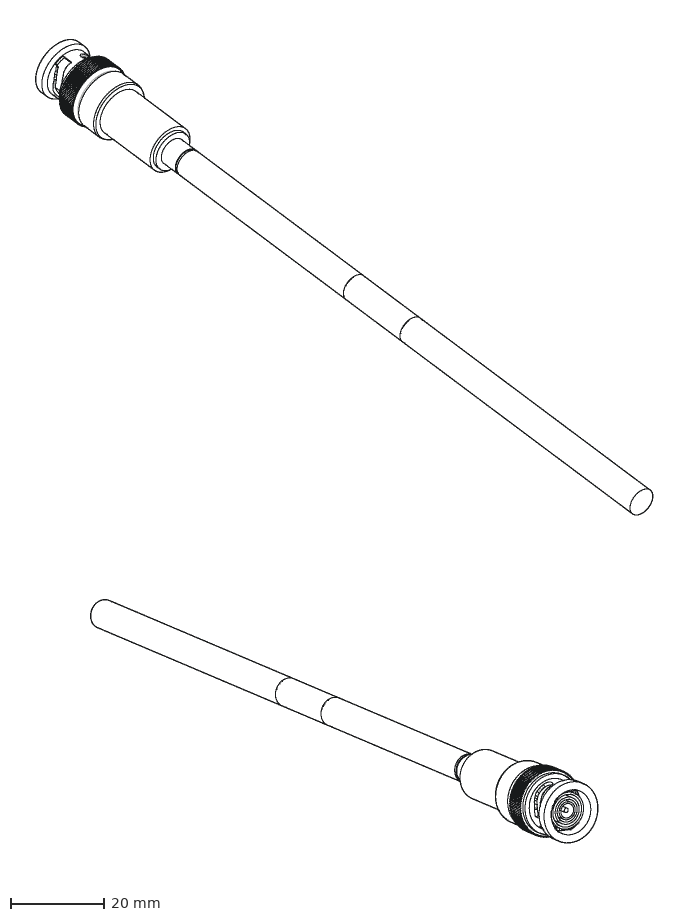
import cadquery as cq
import math

TOTAL_LENGTH = 195.58

FLANGE_RADIUS = 6.75
FLANGE_LENGTH = 2.1
BARREL_START = 2.7
BARREL_RADIUS = 5.7
BORE_RADIUS = 4.95
COLLAR_START = 7.95
COLLAR_RADIUS = FLANGE_RADIUS
KNURL_RADIUS = 7.49
KNURL_DEPTH = 0.25
KNURL_START = 8.9
KNURL_END = 13.2
BEVEL_END = 14.2
NUT_END = 14.8
NUT_END_RADIUS = 6.2
TOOTH_COUNT = 120

SLOT_COUNT = 3
SLOT_RADIUS = 1.2
MOUTH_START = 2.9
MOUTH_END = 5.7
MOUTH_ANGLE = 117
SEAT_X = 5.75
SEAT_ANGLE = 184
RAMP_START_X = 4.4
RAMP_START_ANGLE = 121
RAMP_END_ANGLE = 158
SLOT_STEPS = 12

RING_END = 20.3
RING_RADIUS = 7.0
RING_CHAMFER_LENGTH = 0.5
RING_CHAMFER_DROP = 0.2
BODY_RADIUS = 5.59
BODY_END = 37.1
SHOULDER_RADIUS = 4.7
SHOULDER_END = 38.0
NECK_RADIUS = 3.2
NECK_END = 42.7

CONTACT_SLEEVES = ((3.6, 4.1), (2.5, 3.0), (1.6, 2.0))
SLEEVE_FRONT = 1.6
CONTACT_FLOOR = 9.0
PIN_RADIUS = 0.5
PIN_FRONT = 2.0

CABLE_RADIUS = NECK_RADIUS
CABLE_CHAMFER_LENGTH = 0.6
CABLE_CHAMFER_DROP = 0.2
MARKER_START = 99.2
MARKER_LENGTH = 19.05
MARKER_END = MARKER_START + MARKER_LENGTH
MARKER_BORE = 2.93


def turned(points):
    """Turn a closed (x, radius) outline about the X axis."""
    outline = cq.Workplane("XZ").polyline(points).close()
    return outline.revolve(360, (0, 0, 0), (1, 0, 0))


def along_x(start, end, radius):
    """A solid cylinder on the X axis."""
    return cq.Workplane("YZ", origin=(start, 0, 0)).circle(radius).extrude(end - start)


def turn_about_x(shape, angle):
    return shape.rotate((0, 0, 0), (1, 0, 0), angle)


def knurled_band():
    """Straight pointed teeth round the grip of the nut, hollowed out to fit over the barrel."""
    points = []
    for tooth in range(TOOTH_COUNT):
        for offset, radius in ((0, KNURL_RADIUS), (0.5, KNURL_RADIUS - KNURL_DEPTH)):
            angle = math.radians((tooth + offset) * 360 / TOOTH_COUNT)
            points.append((radius * math.cos(angle), radius * math.sin(angle)))
    band = cq.Workplane("YZ", origin=(KNURL_START, 0, 0)).polyline(points).close()
    band = band.extrude(KNURL_END - KNURL_START)
    return band.cut(along_x(KNURL_START, KNURL_END, BARREL_RADIUS))


def bayonet_slot():
    """A square mouth followed by overlapping radial drillings along a ramp to the seat."""
    mouth = cq.Workplane("XY").center((MOUTH_START + MOUTH_END) / 2, 0)
    mouth = mouth.rect(MOUTH_END - MOUTH_START, 2 * SLOT_RADIUS).extrude(KNURL_RADIUS)
    slot = turn_about_x(mouth, MOUTH_ANGLE - 90)
    for step in range(SLOT_STEPS + 1):
        angle = RAMP_START_ANGLE + step / SLOT_STEPS * (SEAT_ANGLE - RAMP_START_ANGLE)
        climb = min(1, (angle - RAMP_START_ANGLE) / (RAMP_END_ANGLE - RAMP_START_ANGLE))
        x = RAMP_START_X + climb * (SEAT_X - RAMP_START_X)
        drill = cq.Workplane("XY").center(x, 0).circle(SLOT_RADIUS).extrude(KNURL_RADIUS)
        slot = slot.union(turn_about_x(drill, angle - 90))
    return slot


def make_coupling_nut():
    nut = turned([
        (0, BORE_RADIUS),
        (0, FLANGE_RADIUS),
        (FLANGE_LENGTH, FLANGE_RADIUS),
        (BARREL_START, BARREL_RADIUS),
        (COLLAR_START, BARREL_RADIUS),
        (COLLAR_START, COLLAR_RADIUS),
        (KNURL_END, COLLAR_RADIUS),
        (KNURL_END, KNURL_RADIUS - KNURL_DEPTH),
        (BEVEL_END, COLLAR_RADIUS),
        (NUT_END, NUT_END_RADIUS),
        (NUT_END, BORE_RADIUS),
    ])
    nut = nut.union(knurled_band())
    slot = bayonet_slot()
    for index in range(SLOT_COUNT):
        nut = nut.cut(turn_about_x(slot, index * 360 / SLOT_COUNT))
    return nut


def make_connector_body():
    body = turned([
        (CONTACT_FLOOR, 0),
        (CONTACT_FLOOR, BORE_RADIUS),
        (NUT_END, BORE_RADIUS),
        (NUT_END, RING_RADIUS),
        (RING_END - RING_CHAMFER_LENGTH, RING_RADIUS),
        (RING_END, RING_RADIUS - RING_CHAMFER_DROP),
        (RING_END, BODY_RADIUS),
        (BODY_END, BODY_RADIUS),
        (BODY_END, SHOULDER_RADIUS),
        (SHOULDER_END, SHOULDER_RADIUS),
        (SHOULDER_END, NECK_RADIUS),
        (NECK_END, NECK_RADIUS),
        (NECK_END, 0),
    ])
    for bore, radius in CONTACT_SLEEVES:
        sleeve = along_x(SLEEVE_FRONT, CONTACT_FLOOR, radius)
        body = body.union(sleeve.cut(along_x(SLEEVE_FRONT, CONTACT_FLOOR, bore)))
    return body.union(along_x(PIN_FRONT, CONTACT_FLOOR, PIN_RADIUS))


def make_cable():
    return turned([
        (NECK_END, 0),
        (NECK_END, CABLE_RADIUS - CABLE_CHAMFER_DROP),
        (NECK_END + CABLE_CHAMFER_LENGTH, CABLE_RADIUS),
        (MARKER_START, CABLE_RADIUS),
        (MARKER_START, MARKER_BORE),
        (MARKER_END, MARKER_BORE),
        (MARKER_END, CABLE_RADIUS),
        (TOTAL_LENGTH, CABLE_RADIUS),
        (TOTAL_LENGTH, 0),
    ])


def make_marker():
    sleeve = along_x(MARKER_START, MARKER_END, CABLE_RADIUS)
    return sleeve.cut(along_x(MARKER_START, MARKER_END, MARKER_BORE))


coupling_nut = make_coupling_nut()
connector_body = make_connector_body()
cable = make_cable()
marker = make_marker()

result = cq.Compound.makeCompound([
    coupling_nut.val(), connector_body.val(), cable.val(), marker.val(),
])